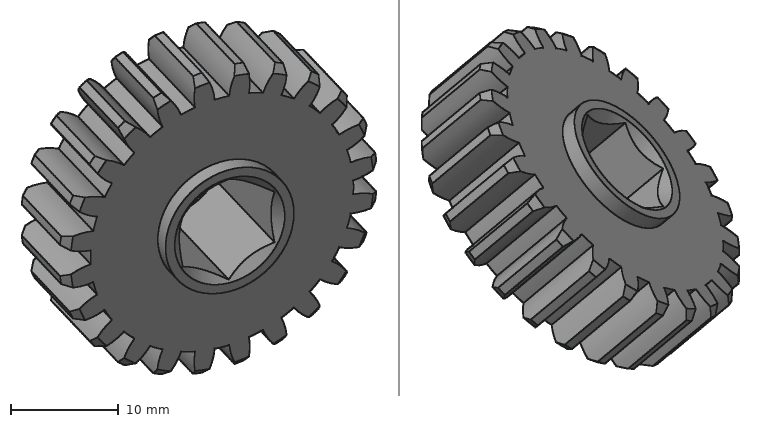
import cadquery as cq
import math

outer_height = 32.85
tooth_count = 24
tooth_pitch = 360 / tooth_count
tip_half_angle = 1.6

tip_corner_angle = math.radians(tooth_pitch / 2 - tip_half_angle)
tip_radius = outer_height / 2 / math.cos(tip_corner_angle)
dedendum_factor = 1.25
module = 2 * tip_radius / (tooth_count + 2)
root_radius = module * (tooth_count / 2 - dedendum_factor)

root_half_width = 1.035
flank_radius = 15.27
flank_half_width = 0.9
tip_half_width = tip_radius * math.sin(math.radians(tip_half_angle))

hex_across_flats = 9.52
face_width = 9.52
tip_chamfer = 0.8
hub_diameter = 13.33
overall_width = 12.7
countersink_diameter = 11.43
countersink_depth = 0.95

root_overlap = 0.33


def point_on_circle(radius, height):
    """Point of a circle about the gear axis, on the +Y side at the given height along Z."""
    return (math.sqrt(radius**2 - height**2), height)


def make_tooth():
    """One tooth pointing along +Y, with arc flanks and an arc tip."""
    root_x, root_y = point_on_circle(root_radius, root_half_width)
    flank_x, flank_y = point_on_circle(flank_radius, flank_half_width)
    tip_x, tip_y = point_on_circle(tip_radius, tip_half_width)
    inner_x = root_x - root_overlap
    return (
        cq.Workplane("YZ")
        .workplane(offset=-face_width / 2)
        .moveTo(inner_x, -root_y)
        .lineTo(root_x, -root_y)
        .threePointArc((flank_x, -flank_y), (tip_x, -tip_y))
        .threePointArc((tip_radius, 0), (tip_x, tip_y))
        .threePointArc((flank_x, flank_y), (root_x, root_y))
        .lineTo(inner_x, root_y)
        .close()
        .extrude(face_width)
    )


def make_disc(diameter, width):
    """Disc centred on the origin, with its axis along X."""
    return cq.Workplane("YZ").circle(diameter / 2).extrude(width / 2, both=True)


def make_gear():
    """Toothed wheel, with both ends of every tooth tip chamfered."""
    gear = make_disc(2 * root_radius, face_width)
    tooth = make_tooth()
    for index in range(tooth_count):
        angle = (index + 0.5) * tooth_pitch
        gear = gear.union(tooth.rotate((0, 0, 0), (1, 0, 0), angle))
    chamfered_blank = make_disc(2 * tip_radius, face_width).edges().chamfer(tip_chamfer)
    return gear.intersect(chamfered_blank)


def make_bore():
    """Hexagonal through bore with corners on the Z axis and a countersink at each end."""
    hex_across_corners = hex_across_flats / math.cos(math.radians(30))
    end = overall_width / 2
    bore = (
        cq.Workplane("YZ")
        .polygon(6, hex_across_corners)
        .extrude(end, both=True)
        .rotate((0, 0, 0), (1, 0, 0), 90)
    )
    for side in (-1, 1):
        countersink = cq.Solid.makeCone(
            countersink_diameter / 2,
            hex_across_flats / 2,
            countersink_depth,
            cq.Vector(side * end, 0, 0),
            cq.Vector(-side, 0, 0),
        )
        bore = bore.union(cq.Workplane(obj=countersink))
    return bore


hubs = make_disc(hub_diameter, overall_width)
result = make_gear().union(hubs).cut(make_bore())